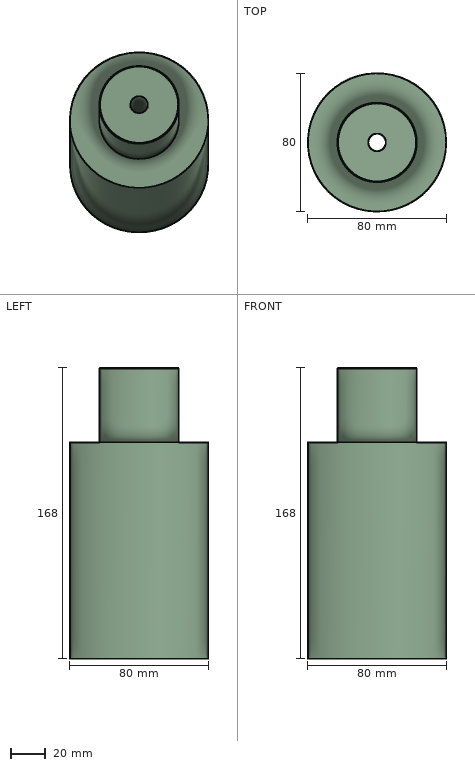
import cadquery as cq

body_diameter = 80.0
body_height = 125.0
total_height = 168.0
neck_diameter = 46.0
neck_height = total_height - body_height
neck_chamfer = 0.5
bore_diameter = 10.0


def make_body():
    """Large cylinder standing on the XY plane."""
    return cq.Workplane("XY").circle(body_diameter / 2).extrude(body_height)


def make_neck():
    """Smaller cylinder on top of the body, with its top edge chamfered."""
    neck = cq.Workplane("XY").workplane(offset=body_height).circle(neck_diameter / 2).extrude(neck_height)
    return neck.faces(">Z").edges().chamfer(neck_chamfer)


def make_bore():
    """Axial bore through the full height."""
    return cq.Workplane("XY").circle(bore_diameter / 2).extrude(total_height)


result = make_body().union(make_neck()).cut(make_bore())